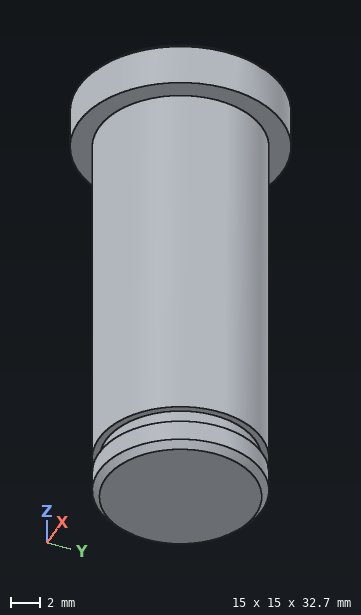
import cadquery as cq

total_length = 32.7
head_diameter = 15.0
head_height = 3.5
shank_diameter = 12.0
edge_chamfer = 0.5

groove_diameter = 11.0
groove_width = 1.2
end_land_length = 2.0

bottom_z = -total_length / 2
head_base_z = total_length / 2 - head_height
groove_base_z = bottom_z + end_land_length


def make_shank():
    """Plain cylinder with a chamfered lower end."""
    return (
        cq.Workplane("XY", origin=(0, 0, bottom_z))
        .circle(shank_diameter / 2)
        .extrude(total_length - head_height)
        .faces("<Z")
        .chamfer(edge_chamfer)
    )


def make_head():
    """Wider disc with a chamfered top rim."""
    return (
        cq.Workplane("XY", origin=(0, 0, head_base_z))
        .circle(head_diameter / 2)
        .extrude(head_height)
        .faces(">Z")
        .chamfer(edge_chamfer)
    )


def make_groove_cutter():
    """Ring of material removed to form the groove."""
    return (
        cq.Workplane("XY", origin=(0, 0, groove_base_z))
        .circle(head_diameter / 2)
        .circle(groove_diameter / 2)
        .extrude(groove_width)
    )


result = make_shank().union(make_head()).cut(make_groove_cutter())